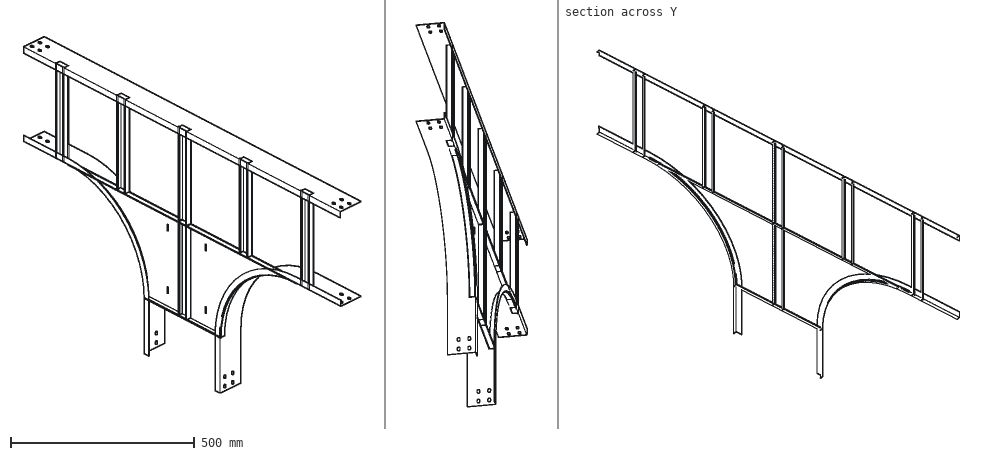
import cadquery as cq
import math


sheet = 2.0
rail_depth = 80.0
tray_width = 302.0
bend_radius = 298.0
straight_length = 173.0
lip_width = 21.0
rail_corner_radius = 4.0
lip_overhang = 2.0

rung_width = 35.0
rung_opening = 24.0
rung_depth = 17.0
rung_pitch = 240.0

bolt_slot_length = 11.0
bolt_slot_width = 7.0
bolt_spacing = 30.0
bolt_end_distance = 15.0
bolt_front_distance = 19.0

rim_lip_height = 4.0

plate_slot_width = 4.0
plate_slot_height = 20.0
plate_slot_x = 75.0
plate_slot_inset = 51.0

half_width = tray_width / 2
bend_x = half_width + bend_radius
bend_z = -tray_width - bend_radius
half_length = bend_x + straight_length
bottom_z = bend_z - straight_length
front_y = -rail_depth / 2
lip_back_y = front_y + sheet
rung_back_y = lip_back_y + rung_depth
run_floor_z = -tray_width + sheet


def block(x_range, y_range, z_range):
    """Box between two limits on each axis."""
    ranges = (x_range, y_range, z_range)
    sizes = [high - low for low, high in ranges]
    corner = tuple(low for low, high in ranges)
    return cq.Workplane("XY").box(*sizes, centered=False).translate(corner)


def upright_sketch(back_y):
    """XZ workplane whose extrusions run forward (-Y) from back_y."""
    return cq.Workplane("XZ", origin=(0, back_y, 0))


def bend_middle(side, radius):
    """Point halfway round a bend, on the given radius."""
    offset = radius * math.sqrt(0.5)
    return (side * (bend_x - offset), bend_z + offset)


def straight_rail():
    rail_span = (-half_length, half_length)
    web = block(rail_span, (front_y, -front_y), (-sheet, 0))
    lip = block(rail_span, (front_y, lip_back_y), (-lip_width, 0))
    return web.union(lip).faces("<Y").edges(">Z").fillet(rail_corner_radius)


def bent_strip(side, width, back_y, depth):
    """Strip along the outside of arm, bend and leg, reaching `width` into the tray."""
    inner_leg_x = side * (half_width - width)
    inner_arm_z = -tray_width + width
    return (
        upright_sketch(back_y)
        .moveTo(side * half_length, -tray_width)
        .lineTo(side * bend_x, -tray_width)
        .threePointArc(bend_middle(side, bend_radius), (side * half_width, bend_z))
        .lineTo(side * half_width, bottom_z)
        .lineTo(inner_leg_x, bottom_z)
        .lineTo(inner_leg_x, bend_z)
        .threePointArc(bend_middle(side, bend_radius + width), (side * bend_x, inner_arm_z))
        .lineTo(side * half_length, inner_arm_z)
        .close()
        .extrude(depth)
    )


def bent_rail(side):
    web = bent_strip(side, sheet, -front_y, rail_depth)
    lip = bent_strip(side, lip_width, lip_back_y, sheet)
    arm_corner = cq.selectors.NearestToPointSelector(
        (side * (bend_x + straight_length / 2), front_y, -tray_width)
    )
    return web.union(lip).edges(arm_corner).fillet(rail_corner_radius)


def slanted_lip_tip():
    """Pointed end of the right-hand lip, running past the end of its rail."""
    return (
        upright_sketch(lip_back_y)
        .moveTo(half_length, -tray_width + rail_corner_radius)
        .lineTo(half_length, -tray_width + lip_width)
        .lineTo(half_length + lip_overhang, -tray_width + lip_width)
        .close()
        .extrude(sheet)
    )


def rung(x, lower_z):
    """C-section hung under the straight rail, open to the front."""
    half_outer = rung_width / 2
    half_inner = half_outer - sheet
    half_opening = rung_opening / 2
    z_range = (lower_z, 0)
    body = block((x - half_outer, x + half_outer), (lip_back_y, rung_back_y), z_range)
    hollow_z = (lower_z, -sheet)
    hollow_y = (lip_back_y + sheet, rung_back_y - sheet)
    hollow = block((x - half_inner, x + half_inner), hollow_y, hollow_z)
    opening = block((x - half_opening, x + half_opening), (lip_back_y, hollow_y[1]), hollow_z)
    return body.cut(hollow).cut(opening)


def branch_plate():
    """Plate level with the rung backs, with lipped rims turned forward above and below."""
    plate = (
        upright_sketch(rung_back_y)
        .moveTo(bend_x, run_floor_z)
        .lineTo(bend_x, -tray_width)
        .threePointArc(bend_middle(1, bend_radius), (half_width, bend_z))
        .lineTo(-half_width, bend_z)
        .threePointArc(bend_middle(-1, bend_radius), (-bend_x, -tray_width))
        .lineTo(-bend_x, run_floor_z)
        .close()
        .extrude(sheet)
    )
    slot_centres = [
        (x, z)
        for x in (-plate_slot_x, plate_slot_x)
        for z in (run_floor_z - plate_slot_inset, bend_z + plate_slot_inset)
    ]
    slots = (
        upright_sketch(rung_back_y)
        .pushPoints(slot_centres)
        .rect(plate_slot_width, plate_slot_height)
        .extrude(sheet)
    )
    rim_y = (lip_back_y, rung_back_y)
    upper_rim = block((-bend_x, bend_x), rim_y, (-tray_width, run_floor_z))
    lower_rim = block((-half_width, half_width), rim_y, (bend_z, bend_z + sheet))
    lip_y = (lip_back_y, lip_back_y + sheet)
    upper_lip = block((-bend_x, bend_x), lip_y, (run_floor_z - rim_lip_height, run_floor_z))
    lower_lip = block((-half_width, half_width), lip_y, (bend_z, bend_z + rim_lip_height))
    plate = plate.cut(slots)
    for rim_part in (upper_rim, lower_rim, upper_lip, lower_lip):
        plate = plate.union(rim_part)
    return plate


def bolt_slots():
    """Groups of four slots through the rail webs, at every rail end."""
    end_offsets = (bolt_end_distance, bolt_end_distance + bolt_spacing)
    first_y = front_y + bolt_front_distance
    slot_ys = (first_y, first_y + bolt_spacing)
    arm_points = [
        (side * (half_length - offset), y)
        for side in (-1, 1) for offset in end_offsets for y in slot_ys
    ]
    leg_points = [(y, bottom_z + offset) for y in slot_ys for offset in end_offsets]
    arm_cutters = (
        cq.Workplane("XY", origin=(0, 0, -tray_width))
        .pushPoints(arm_points)
        .slot2D(bolt_slot_length, bolt_slot_width)
        .extrude(tray_width)
    )
    leg_cutters = (
        cq.Workplane("YZ", origin=(-half_width, 0, 0))
        .pushPoints(leg_points)
        .slot2D(bolt_slot_length, bolt_slot_width, 90)
        .extrude(tray_width)
    )
    return arm_cutters.union(leg_cutters)


members = [branch_plate(), rung(0, bend_z)]
for side in (-1, 1):
    members.append(bent_rail(side))
    members.append(rung(side * rung_pitch, -tray_width))
    members.append(rung(side * 2 * rung_pitch, -tray_width))
members.append(slanted_lip_tip())

result = straight_rail()
for member in members:
    result = result.union(member, clean=False)
result = result.cut(bolt_slots(), clean=False)